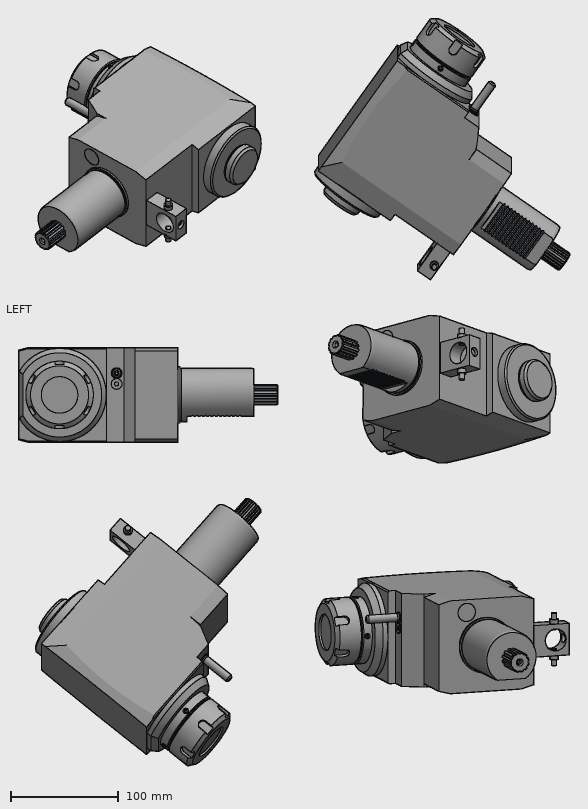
import cadquery as cq
import math


HALF_HEIGHT = 44.0
HOUSING_BACK = 148.1
HEAD_LEFT = -72.6
HEAD_RIGHT = 55.2
HEAD_FRONT = 66.3
STEP_LEFT = -65.0
STEP_FRONT = 50.0
FOOT_LEFT = -46.4
FOOT_TOP = 40.1
FOOT_RIGHT = 47.5
BEVEL_SLOPE = math.tan(math.radians(15))
RIGHT_BEVEL_START = 35.2
FOOT_BEVEL_START = -35.0
HEAD_EDGE_CHAMFER = 1.3
CROWN_RADIUS = 336.0
CROWN_CENTER_X = -18.0
CROWN_PEAK_Y = 139.7
PLUG_X, PLUG_Z, PLUG_RADIUS, PLUG_RECESS = -18.7, 32.0, 8.6, 0.2

SPINDLE_Y = 110.0
NOSE_TIP = -119.0
NUT_RADIUS = 31.4
NUT_FACE_RADIUS = 27.0
NUT_CHAMFER_LENGTH = 3.5
NUT_GROOVE_LEFT, NUT_GROOVE_RIGHT = -94.4, -91.8
NUT_GROOVE_DEPTH = 1.2
NUT_GROOVE_SIDE = 0.8
COLLAR_RADIUS = 43.4
COLLAR_FACE_RADIUS = 39.2
COLLAR_LEFT = -83.6
COLLAR_CONE_END = -77.2
COLLAR_BACK = 147.5
COLLAR_BACK_AT_FACE = 144.2
BORE_RADIUS, BORE_DEPTH = 17.0, 2.0
SLOT_COUNT, SLOT_WIDTH, SLOT_DEPTH, SLOT_END = 6, 8.4, 3.2, -104.7
SET_SCREW_X, SET_SCREW_COUNT = -88.2, 4
SET_SCREW_RADIUS, SET_SCREW_RECESS = 2.5, 0.8
SET_SOCKET_RADIUS, SET_SOCKET_DEPTH = 1.3, 3.0

COVER_RADIUS, COVER_END, COVER_CHAMFER = 36.4, 65.1, 1.5
KNOB_NECK_RADIUS, KNOB_START = 18.4, 66.6
KNOB_RADIUS, KNOB_END = 19.4, 75.1
KNOB_CHAMFER_LENGTH, KNOB_CHAMFER_HEIGHT = 2.5, 1.7

FLANGE_RADIUS, FLANGE_LENGTH = 26.2, 2.0
NECK_RADIUS, NECK_END = 24.7, -3.4
SHANK_RADIUS, SHANK_END = 25.0, -70.5
SHANK_CHAMFER_LENGTH, SHANK_CHAMFER_HEIGHT = 2.5, 0.7
SHANK_FLAT_Z, SHANK_FLAT_START = -20.0, -8.5
TOOTH_FIRST, TOOTH_PITCH, TOOTH_COUNT, TOOTH_DEPTH, TOOTH_GAP = -13.6, 4.0, 12, 1.0, 2.6
SPLINE_END = -92.9
SPLINE_TEETH, SPLINE_RADIUS, SPLINE_ROOT = 12, 9.6, 8.2
SPLINE_FOOT, SPLINE_CREST = 0.18, 0.28
SPLINE_CHAMFER = 1.0
CENTER_RADIUS, CENTER_DEPTH, CENTER_MOUTH_RADIUS, CENTER_MOUTH_DEPTH = 2.0, 6.0, 3.4, 1.4

PIN_Y, PIN_Z, PIN_RADIUS, PIN_LENGTH, PIN_CHAMFER = 57.0, 20.2, 3.9, 32.4, 1.5
PIN_SHOULDER_RADIUS, PIN_SHOULDER_LENGTH = 4.2, 2.6
PIN_BORE_RADIUS, PIN_BORE_DEPTH = 1.3, 4.0
WASHER_RADIUS, WASHER_THICKNESS, SCREW_Z, SCREW_HOLE_RADIUS = 5.0, 1.0, 10.2, 1.9

BRACKET_RIGHT, BRACKET_Y0, BRACKET_Y1, BRACKET_HALF_HEIGHT = 83.1, 1.0, 16.0, 15.0
BRACKET_HOLE_X, BRACKET_HOLE_RADIUS = 69.7, 10.3
CROSS_HOLE_RADIUS = 4.2
STUD_Y, STUD_RADIUS, STUD_TIP = 6.0, 2.5, 24.8
STUD_INNER, STUD_NUT_RADIUS, STUD_NUT_TOP = 9.2, 4.0, 19.0


def along_x(radius, start, end, y, z):
    """Cylinder along X between two X positions."""
    return cq.Workplane("YZ", origin=(start, 0, 0)).center(y, z).circle(radius).extrude(end - start)


def along_y(radius, start, end, x, z):
    """Cylinder along Y between two Y positions."""
    return cq.Workplane("XZ", origin=(0, start, 0)).center(x, z).circle(radius).extrude(start - end)


def along_z(radius, start, end, x, y):
    """Cylinder along Z between two Z positions."""
    return cq.Workplane("XY", origin=(x, y, start)).circle(radius).extrude(end - start)


def turned_on_spindle(points):
    """Body of revolution about the spindle axis from (x, radius) points."""
    profile = cq.Workplane("XY").polyline([(x, SPINDLE_Y + r) for x, r in points]).close()
    return profile.revolve(360, (0, SPINDLE_Y, 0), (1, SPINDLE_Y, 0))


def bevel_envelope():
    """Prism along Y that bevels the right side and chamfers the left edges of the housing."""
    drop = (HEAD_RIGHT - RIGHT_BEVEL_START) * BEVEL_SLOPE
    half = [
        (HEAD_LEFT, HALF_HEIGHT - HEAD_EDGE_CHAMFER),
        (HEAD_LEFT + HEAD_EDGE_CHAMFER, HALF_HEIGHT),
        (RIGHT_BEVEL_START, HALF_HEIGHT),
        (HEAD_RIGHT, HALF_HEIGHT - drop),
    ]
    outline = half + [(x, -z) for x, z in reversed(half)]
    return cq.Workplane("XZ").polyline(outline).close().extrude(-HOUSING_BACK)


def crown_envelope():
    """Disc with 15 degree conical rims that bevels the rear edges of the housing."""
    center_y = CROWN_PEAK_Y - CROWN_RADIUS
    rim_radius = CROWN_RADIUS + HALF_HEIGHT / BEVEL_SLOPE
    half_profile = [(0, -HALF_HEIGHT), (CROWN_RADIUS, -HALF_HEIGHT), (rim_radius, 0),
                    (CROWN_RADIUS, HALF_HEIGHT), (0, HALF_HEIGHT)]
    disc = cq.Workplane("XZ").polyline(half_profile).close().revolve(360, (0, 0, 0), (0, 1, 0))
    return disc.translate((CROWN_CENTER_X, center_y, 0))


def foot_bevels():
    """Wedges removed along the left edges of the foot."""
    reach = FOOT_BEVEL_START - FOOT_LEFT
    drop = reach * BEVEL_SLOPE
    corners = [(FOOT_BEVEL_START, HALF_HEIGHT), (FOOT_LEFT, HALF_HEIGHT), (FOOT_LEFT, HALF_HEIGHT - drop)]
    wedge = cq.Workplane("XZ").polyline(corners).close().extrude(-FOOT_TOP)
    return wedge.union(wedge.mirror("XY"))


def housing():
    plan = [
        (FOOT_LEFT, 0), (FOOT_RIGHT, 0), (FOOT_RIGHT, HEAD_FRONT), (HEAD_RIGHT, HEAD_FRONT),
        (HEAD_RIGHT, HOUSING_BACK), (HEAD_LEFT, HOUSING_BACK), (HEAD_LEFT, HEAD_FRONT),
        (STEP_LEFT, HEAD_FRONT), (STEP_LEFT, STEP_FRONT), (FOOT_LEFT, FOOT_TOP),
    ]
    block = cq.Workplane("XY").polyline(plan).close().extrude(HALF_HEIGHT, both=True)
    block = block.intersect(bevel_envelope()).intersect(crown_envelope()).cut(foot_bevels())
    return block.cut(along_y(PLUG_RADIUS, PLUG_RECESS, 0, PLUG_X, PLUG_Z))


def spindle_collar():
    """Conical collar, flattened and bevelled on its rear side."""
    collar = turned_on_spindle([
        (HEAD_LEFT, 0), (COLLAR_LEFT, 0), (COLLAR_LEFT, COLLAR_FACE_RADIUS),
        (COLLAR_CONE_END, COLLAR_RADIUS), (HEAD_LEFT, COLLAR_RADIUS),
    ])
    kept_front = SPINDLE_Y - COLLAR_RADIUS
    kept = [(HEAD_LEFT, kept_front), (COLLAR_LEFT, kept_front), (COLLAR_LEFT, COLLAR_BACK_AT_FACE),
            (COLLAR_CONE_END, COLLAR_BACK), (HEAD_LEFT, COLLAR_BACK)]
    return collar.intersect(cq.Workplane("XY").polyline(kept).close().extrude(COLLAR_RADIUS, both=True))


def nut_slot():
    """Round-ended wrench slot at the +Z side of the clamping nut."""
    floor_z = NUT_RADIUS - SLOT_DEPTH
    end_center = SLOT_END - SLOT_WIDTH / 2
    straight = end_center - NOSE_TIP
    floor = cq.Workplane("XY", origin=(0, SPINDLE_Y, floor_z))
    groove = floor.center(NOSE_TIP + straight / 2, 0).rect(straight, SLOT_WIDTH).extrude(2 * SLOT_DEPTH)
    return groove.union(along_z(SLOT_WIDTH / 2, floor_z, floor_z + 2 * SLOT_DEPTH, end_center, SPINDLE_Y))


def around_spindle(shape, count):
    """Copies of a shape evenly spaced about the spindle axis."""
    for i in range(count):
        yield shape.rotate((0, SPINDLE_Y, 0), (1, SPINDLE_Y, 0), i * 360 / count)


def set_screw_hole():
    """Stepped radial hole of a sunk set screw and its socket, at the +Z side of the nut."""
    recess = along_z(SET_SCREW_RADIUS, NUT_RADIUS - SET_SCREW_RECESS, NUT_RADIUS, SET_SCREW_X, SPINDLE_Y)
    return recess.union(
        along_z(SET_SOCKET_RADIUS, NUT_RADIUS - SET_SOCKET_DEPTH, NUT_RADIUS, SET_SCREW_X, SPINDLE_Y)
    )


def clamping_nut():
    groove_radius = NUT_RADIUS - NUT_GROOVE_DEPTH
    nut = turned_on_spindle([
        (COLLAR_LEFT, 0), (NOSE_TIP, 0), (NOSE_TIP, NUT_FACE_RADIUS),
        (NOSE_TIP + NUT_CHAMFER_LENGTH, NUT_RADIUS), (NUT_GROOVE_LEFT, NUT_RADIUS),
        (NUT_GROOVE_LEFT + NUT_GROOVE_SIDE, groove_radius),
        (NUT_GROOVE_RIGHT - NUT_GROOVE_SIDE, groove_radius),
        (NUT_GROOVE_RIGHT, NUT_RADIUS), (COLLAR_LEFT, NUT_RADIUS),
    ])
    nut = nut.cut(along_x(BORE_RADIUS, NOSE_TIP, NOSE_TIP + BORE_DEPTH, SPINDLE_Y, 0))
    for slot in around_spindle(nut_slot(), SLOT_COUNT):
        nut = nut.cut(slot)
    for hole in around_spindle(set_screw_hole(), SET_SCREW_COUNT):
        nut = nut.cut(hole)
    return nut


def rear_cover():
    """Cover disc and stepped knob on the right side of the head."""
    return turned_on_spindle([
        (HEAD_RIGHT, 0), (HEAD_RIGHT, COVER_RADIUS), (COVER_END - COVER_CHAMFER, COVER_RADIUS),
        (COVER_END, COVER_RADIUS - COVER_CHAMFER), (COVER_END, KNOB_NECK_RADIUS),
        (KNOB_START, KNOB_NECK_RADIUS), (KNOB_START, KNOB_RADIUS),
        (KNOB_END - KNOB_CHAMFER_LENGTH, KNOB_RADIUS),
        (KNOB_END, KNOB_RADIUS - KNOB_CHAMFER_HEIGHT), (KNOB_END, 0),
    ])


def shank():
    profile = [
        (0, 0), (FLANGE_RADIUS, 0), (FLANGE_RADIUS, -FLANGE_LENGTH),
        (NECK_RADIUS, -FLANGE_LENGTH), (NECK_RADIUS, NECK_END), (SHANK_RADIUS, NECK_END),
        (SHANK_RADIUS, SHANK_END + SHANK_CHAMFER_LENGTH),
        (SHANK_RADIUS - SHANK_CHAMFER_HEIGHT, SHANK_END), (0, SHANK_END),
    ]
    body = cq.Workplane("XY").polyline(profile).close().revolve(360, (0, 0, 0), (0, 1, 0))
    flat_outline = [
        (SHANK_FLAT_START, SHANK_FLAT_Z), (SHANK_END, SHANK_FLAT_Z),
        (SHANK_END, -SHANK_RADIUS), (SHANK_FLAT_START, -SHANK_RADIUS),
    ]
    body = body.cut(cq.Workplane("YZ").polyline(flat_outline).close().extrude(SHANK_RADIUS, both=True))
    for i in range(TOOTH_COUNT):
        y = TOOTH_FIRST - i * TOOTH_PITCH
        notch = [(y - TOOTH_GAP / 2, SHANK_FLAT_Z), (y, SHANK_FLAT_Z + TOOTH_DEPTH),
                 (y + TOOTH_GAP / 2, SHANK_FLAT_Z)]
        body = body.cut(cq.Workplane("YZ").polyline(notch).close().extrude(SHANK_RADIUS, both=True))
    return body


def spline_outline():
    """Corner points of the trapezoidal spline teeth, with a gap centred on +Z."""
    pitch = 2 * math.pi / SPLINE_TEETH
    corners = [
        (SPLINE_FOOT, SPLINE_ROOT), (SPLINE_CREST, SPLINE_RADIUS),
        (1 - SPLINE_CREST, SPLINE_RADIUS), (1 - SPLINE_FOOT, SPLINE_ROOT),
    ]
    points = []
    for i in range(SPLINE_TEETH):
        for fraction, radius in corners:
            angle = (i + fraction) * pitch
            points.append((radius * math.sin(angle), radius * math.cos(angle)))
    return points


def spline():
    length = SHANK_END - SPLINE_END
    teeth = cq.Workplane("XZ", origin=(0, SHANK_END, 0)).polyline(spline_outline()).close().extrude(length)
    blank = along_y(SPLINE_RADIUS, SHANK_END, SPLINE_END, 0, 0).faces("<Y").chamfer(SPLINE_CHAMFER)
    center_profile = [
        (0, SPLINE_END), (CENTER_MOUTH_RADIUS, SPLINE_END),
        (CENTER_RADIUS, SPLINE_END + CENTER_MOUTH_DEPTH),
        (CENTER_RADIUS, SPLINE_END + CENTER_DEPTH), (0, SPLINE_END + CENTER_DEPTH),
    ]
    center = cq.Workplane("XY").polyline(center_profile).close().revolve(360, (0, 0, 0), (0, 1, 0))
    return teeth.intersect(blank).cut(center)


def coolant_pin():
    """Pin with its seat, and the screw head beside it."""
    seat_face = STEP_LEFT - WASHER_THICKNESS
    tip = STEP_LEFT - PIN_LENGTH
    pin = along_x(PIN_RADIUS, tip, STEP_LEFT, PIN_Y, PIN_Z).faces("<X").chamfer(PIN_CHAMFER)
    pin = pin.cut(along_x(PIN_BORE_RADIUS, tip, tip + PIN_BORE_DEPTH, PIN_Y, PIN_Z))
    pin = pin.union(along_x(PIN_SHOULDER_RADIUS, STEP_LEFT - PIN_SHOULDER_LENGTH, STEP_LEFT, PIN_Y, PIN_Z))
    seat = along_x(WASHER_RADIUS, seat_face, STEP_LEFT, PIN_Y, PIN_Z)
    screw = along_x(WASHER_RADIUS, seat_face, STEP_LEFT, PIN_Y, SCREW_Z)
    socket = along_x(SCREW_HOLE_RADIUS, seat_face, STEP_LEFT, PIN_Y, SCREW_Z)
    return pin.union(seat).union(screw.cut(socket))


def side_bracket():
    width = BRACKET_Y1 - BRACKET_Y0
    middle_y = (BRACKET_Y0 + BRACKET_Y1) / 2
    plate = cq.Workplane("XY").box(
        BRACKET_RIGHT - FOOT_RIGHT, width, 2 * BRACKET_HALF_HEIGHT, centered=(False, False, True)
    ).translate((FOOT_RIGHT, BRACKET_Y0, 0))
    plate = plate.cut(along_y(BRACKET_HOLE_RADIUS, BRACKET_Y1, BRACKET_Y0, BRACKET_HOLE_X, 0))
    plate = plate.cut(along_x(CROSS_HOLE_RADIUS, BRACKET_HOLE_X, BRACKET_RIGHT, middle_y, 0))
    stud = along_z(STUD_RADIUS, STUD_INNER, STUD_TIP, BRACKET_HOLE_X, STUD_Y)
    stud = stud.union(along_z(STUD_NUT_RADIUS, BRACKET_HALF_HEIGHT, STUD_NUT_TOP, BRACKET_HOLE_X, STUD_Y))
    return plate.union(stud).union(stud.mirror("XY"))


result = housing()
for build in (spindle_collar, clamping_nut, rear_cover, shank, spline, coolant_pin, side_bracket):
    result = result.union(build())